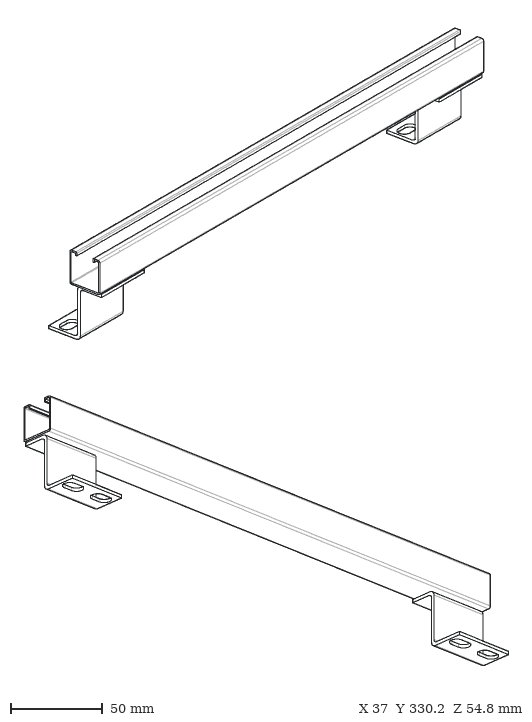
import cadquery as cq

overall_width = 37.0
rail_length = 330.2
overall_height = 54.8

rail_size = 21.0
rail_wall = 1.0
rail_bend_inner = 0.3
rail_bend_outer = rail_bend_inner + rail_wall
lip_width = 5.0
lip_drop = 2.3
lip_edge_radius = 0.5
rail_left = overall_width - rail_size
rail_bottom = overall_height - rail_size

bracket_length = 37.0
bracket_end_inset = 1.3
bracket_thickness = 2.0
bracket_bend_inner = 2.0
bracket_bend_outer = 3.0
web_right = 22.0
web_left = web_right - bracket_thickness
bracket_offset = rail_length / 2 - bracket_end_inset - bracket_length / 2

slot_width = 8.0
slot_length = 13.0
slot_spacing = 20.8
slot_x = 8.0


def extrude_along_y(points, length):
    """Close an XZ outline and extrude it symmetrically about Y = 0."""
    return cq.Workplane("XZ").polyline(points).close().extrude(length / 2, both=True)


def round_corners(body, corners, radius):
    """Fillet the edges along Y that pass through the given XZ corners."""
    for x, z in corners:
        edge = cq.selectors.NearestToPointSelector((x, 0, z))
        body = body.edges("|Y").edges(edge).fillet(radius)
    return body


def make_rail():
    """Channel open at the top, with each rim folded inward and then down."""
    left, right = rail_left, overall_width
    bottom, top = rail_bottom, overall_height
    inner_left, inner_right = left + rail_wall, right - rail_wall
    floor, ceiling = bottom + rail_wall, top - rail_wall
    left_lip, right_lip = left + lip_width, right - lip_width
    lip_bottom = top - lip_drop

    outline = [
        (left, bottom),
        (right, bottom),
        (right, top),
        (right_lip, top),
        (right_lip, lip_bottom),
        (right_lip + rail_wall, lip_bottom),
        (right_lip + rail_wall, ceiling),
        (inner_right, ceiling),
        (inner_right, floor),
        (inner_left, floor),
        (inner_left, ceiling),
        (left_lip - rail_wall, ceiling),
        (left_lip - rail_wall, lip_bottom),
        (left_lip, lip_bottom),
        (left_lip, top),
        (left, top),
    ]
    outer_corners = [(x, z) for x in (left, right) for z in (bottom, top)]
    inner_corners = [(x, z) for x in (inner_left, inner_right) for z in (floor, ceiling)]
    rail = extrude_along_y(outline, rail_length)
    rail = round_corners(rail, outer_corners, rail_bend_outer)
    rail = round_corners(rail, [(left_lip, top), (right_lip, top)], lip_edge_radius)
    return round_corners(rail, inner_corners, rail_bend_inner)


def make_bracket(center_y):
    """Bent plate: slotted foot, upright web and a seat under the rail."""
    seat_top = rail_bottom
    seat_bottom = seat_top - bracket_thickness
    foot_top = bracket_thickness

    outline = [
        (0, 0),
        (web_right, 0),
        (web_right, seat_bottom),
        (overall_width, seat_bottom),
        (overall_width, seat_top),
        (web_left, seat_top),
        (web_left, foot_top),
        (0, foot_top),
    ]
    bracket = extrude_along_y(outline, bracket_length)
    bracket = round_corners(bracket, [(web_right, 0), (web_left, seat_top)], bracket_bend_outer)
    bracket = round_corners(bracket, [(web_right, seat_bottom), (web_left, foot_top)], bracket_bend_inner)

    slots = (
        cq.Workplane("XY")
        .pushPoints([(slot_x, -slot_spacing / 2), (slot_x, slot_spacing / 2)])
        .slot2D(slot_length, slot_width, 90)
        .extrude(bracket_thickness)
    )
    return bracket.cut(slots).translate((0, center_y, 0))


rail = make_rail()
brackets = [make_bracket(side * bracket_offset) for side in (-1, 1)]

result = cq.Compound.makeCompound([rail.val(), *[bracket.val().Solids()[0] for bracket in brackets]])